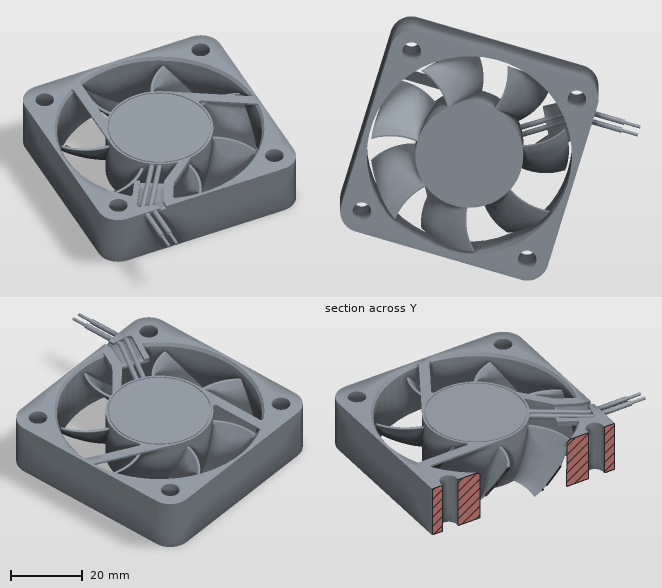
import cadquery as cq
import math


overall_length = 74.25

side = 60.0
height = 15.75
corner_radius = 5.95
hole_diameter = 5.2
hole_pitch = 47.95
bore_radius = 57.0 / 2
bore_chamfer_width = 0.7
bore_chamfer_depth = 0.9
mouth_radius = bore_radius + bore_chamfer_width

hub_radius = 30.0 / 2
groove_outer_radius = 28.8 / 2
groove_inner_radius = 28.2 / 2
groove_depth = 0.4

support_thickness = 1.55
support_bottom = height - support_thickness
arm_width = 3.0
arm_thickness = 0.6
arm_turn = -120.0
cable_side_x = 7.4
window_round = 0.6
tray_floor_z = height - 0.8
tray_round = 0.75

blade_count = 7
blade_root_radius = 14.6
blade_mid_radius = 21.5
blade_tip_radius = 27.7
blade_bottom = 0.45
blade_top = 13.6
blade_bottom_angles = (25.2, 24.7, 19.5)
blade_top_angles = (61.1, 58.3, 51.2)
blade_bottom_thickness = 0.45
blade_top_thickness = 1.0
blade_edge_round = 0.26
blade_curl = 1.35
blade_sections = 5

wire_diameter = 1.5
core_diameter = 0.9
wire_z = height - 1.0
wire_end_x = 39.65
core_end_x = overall_length - side / 2
lead_routes = [
    ((12.25, -5.65), (27.1, -15.5)),
    ((11.4, -7.6), (26.9, -17.9)),
]


def disc(radius, bottom, top):
    """Round plate on the fan axis."""
    return cq.Workplane("XY").workplane(offset=bottom).circle(radius).extrude(top - bottom)


def ring(outer, inner, bottom, top):
    """Flat ring around the fan axis."""
    return disc(outer, bottom, top).cut(disc(inner, bottom, top))


def prism(points, bottom, top):
    """Upright prism over a straight-sided outline."""
    return cq.Workplane("XY").workplane(offset=bottom).polyline(points).close().extrude(top - bottom)


def turned(point, degrees):
    """Point rotated about the fan axis."""
    a = math.radians(degrees)
    x, y = point
    return (x * math.cos(a) - y * math.sin(a), x * math.sin(a) + y * math.cos(a))


def polar(radius, degrees):
    """Point at a radius and angle about the fan axis."""
    return turned((radius, 0), degrees)


arm_outer_y = -hub_radius
arm_inner_y = arm_outer_y + arm_width
arm_outline = [(0, arm_outer_y), (-side / 2, arm_outer_y), (-side / 2, arm_inner_y), (0, arm_inner_y)]

tray_inner_corner = (20.5, -8.3)
cable_arm_outline = [
    (11.2, 6.75),
    (22.3, -6.1),
    (26.6, -8.3),
    (mouth_radius, -9.7),
    (mouth_radius, -19.3),
    (23.0, -19.3),
    (16.6, -15.6),
    tray_inner_corner,
    (11.2, 3.4),
]
tray_outline = [
    tray_inner_corner,
    (27.6, -11.9),
    (side / 2, -12.0),
    (side / 2, -13.8),
    (28.35, -13.8),
    (26.9, -19.75),
    (16.3, -13.5),
]
tray_end_corner = tray_outline[5]
tray_mouth_corners = [(27.6, -8.9), (22.3, -18.9)]


def arm_corners():
    """Window corners along one arm: at the hub and at the bore mouth."""
    hub_corner = (-math.sqrt(hub_radius**2 - arm_inner_y**2), arm_inner_y)
    mouth_corner = (-math.sqrt(mouth_radius**2 - arm_outer_y**2), arm_outer_y)
    return [hub_corner, mouth_corner]


def make_windows():
    """Openings between the supports, with rounded corners."""
    windows = ring(mouth_radius, hub_radius, support_bottom, height)
    arm = prism(arm_outline, support_bottom, height)
    windows = windows.cut(arm)
    windows = windows.cut(arm.rotate((0, 0, 0), (0, 0, 1), arm_turn))
    windows = windows.cut(prism(cable_arm_outline, support_bottom, height))

    second_hub_corner = turned(arm_corners()[0], arm_turn)
    for x, y in arm_corners() + [second_hub_corner] + tray_mouth_corners:
        nearest = cq.selectors.NearestToPointSelector((x, y, height - support_thickness / 2))
        windows = windows.edges("|Z").edges(nearest).fillet(window_round)
    return windows


def make_supports():
    """Hub-to-frame plate with its windows; only the cable side has the full thickness."""
    plate = disc(mouth_radius, support_bottom, height).cut(make_windows())
    arm_space = (
        cq.Workplane("XY")
        .workplane(offset=support_bottom)
        .center(cable_side_x - side / 2, 0)
        .rect(side, side)
        .extrude(support_thickness - arm_thickness)
    )
    return plate.cut(arm_space)


def make_tray():
    """Recess that holds the leads, open towards the hub and through the frame wall."""
    recess = prism(tray_outline, tray_floor_z, height)
    end_edge = cq.selectors.NearestToPointSelector((*tray_end_corner, (tray_floor_z + height) / 2))
    return recess.edges("|Z").edges(end_edge).fillet(tray_round)


def make_bore_flare():
    """Cone that widens the bore towards the top face."""
    return (
        cq.Workplane("XY")
        .workplane(offset=height - bore_chamfer_depth)
        .circle(bore_radius)
        .workplane(offset=bore_chamfer_depth)
        .circle(mouth_radius)
        .loft()
    )


def make_frame():
    """Square frame and hub in one piece, joined by the supports."""
    frame = cq.Workplane("XY").rect(side, side).extrude(height).edges("|Z").fillet(corner_radius)
    frame = frame.cut(disc(bore_radius, 0, height)).cut(make_bore_flare())
    frame = frame.union(make_supports()).union(disc(hub_radius, 0, height))
    frame = frame.cut(make_tray())
    holes = (
        cq.Workplane("XY")
        .rect(hole_pitch, hole_pitch, forConstruction=True)
        .vertices()
        .circle(hole_diameter / 2)
        .extrude(height)
    )
    groove = ring(groove_outer_radius, groove_inner_radius, height - groove_depth, height)
    return frame.cut(holes).cut(groove)


def blade_section(t):
    """Curved strip across the blade; t runs from 0 at the bottom edge to 1 at the top edge.

    The blade lies flatter near its bottom edge and steepens towards the top.
    """
    radii = (blade_root_radius, blade_mid_radius, blade_tip_radius)
    angles = [low + t * (high - low) for low, high in zip(blade_bottom_angles, blade_top_angles)]
    thickness = blade_bottom_thickness + t * (blade_top_thickness - blade_bottom_thickness)
    front = [polar(r, a) for r, a in zip(radii, angles)]
    back = [polar(r, a - math.degrees(thickness / r)) for r, a in zip(radii, angles)]
    z = blade_bottom + t**blade_curl * (blade_top - blade_bottom)
    strip = (
        cq.Workplane("XY")
        .workplane(offset=z)
        .moveTo(*front[0])
        .threePointArc(front[1], front[2])
        .lineTo(*back[2])
        .threePointArc(back[1], back[0])
        .close()
    )
    return strip.val()


def make_blade():
    """One twisted blade with a rounded upper edge."""
    sections = [blade_section(i / (blade_sections - 1)) for i in range(blade_sections)]
    blade = cq.Workplane(cq.Solid.makeLoft(sections))
    long_edges = blade.faces(">Z").edges().filter(lambda edge: edge.Length() > 2 * blade_top_thickness)
    return long_edges.fillet(blade_edge_round)


def rod(start, end, diameter):
    """Round rod between two points at lead height."""
    a = cq.Vector(*start, wire_z)
    run = cq.Vector(*end, wire_z) - a
    return cq.Workplane(cq.Solid.makeCylinder(diameter / 2, run.Length, a, run))


def make_lead(start, bend):
    """Lead from the hub to its bend, then along X through the frame wall to the bare core."""
    y = bend[1]
    elbow = cq.Workplane("XY").sphere(wire_diameter / 2).translate((*bend, wire_z))
    lead = rod(start, bend, wire_diameter).union(elbow)
    lead = lead.union(rod(bend, (wire_end_x, y), wire_diameter))
    return lead.union(rod((wire_end_x, y), (core_end_x, y), core_diameter))


result = make_frame()
blade = make_blade()
for i in range(blade_count):
    result = result.union(blade.rotate((0, 0, 0), (0, 0, 1), i * 360 / blade_count))
for start, bend in lead_routes:
    result = result.union(make_lead(start, bend))